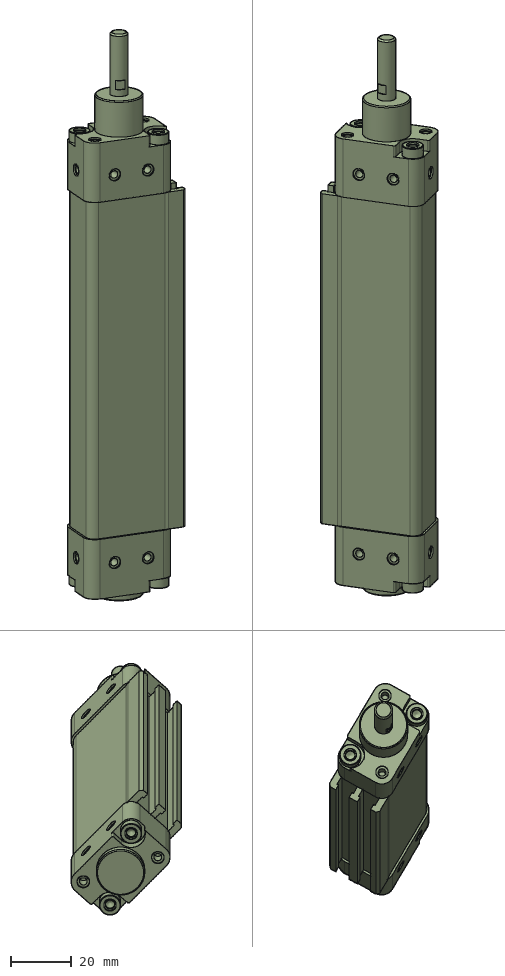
import cadquery as cq
import math

total_length = 194.5
overall_depth = 35.5
boss_diameter = 16.0
end_boss_length = 2.7
boss_length = 12.5
boss_chamfer = 0.4

cap_width = 20.0
cap_depth = 31.1
cap_length = 20.6
cap_corner_radius = 4.0
front_cap_top = 160.7

tube_width = 18.5
tube_depth = 29.5
tube_corner_radius = 3.1

rail_width = 19.0
rail_ramp_start_y = 12.5
rail_ramp_end_y = 13.6
rail_edge_chamfer = 1.0
lip_thickness = 2.0
slot_mouth_edge = 6.6
slot_wall_edge = 7.2
tee_head_width = 3.1
tee_stem_width = 2.0

corner_x = 6.0
corner_y = 11.5
screw_head_diameter = 7.0
screw_head_recess = 0.4
screw_head_chamfer = 0.2
socket_diameter = 3.1
socket_mouth_diameter = 4.0
socket_mouth_depth = 0.5
socket_depth = 1.5
socket_point_half_angle = math.radians(59)
pocket_radius = 4.7
pocket_depth = 3.9
pocket_edge_radius = 0.5

hole_diameter = 2.5
hole_mouth_diameter = 4.0
hole_mouth_depth = 0.5
hole_depth = 4.9
side_hole_spacing = 12.0
side_hole_inset = 8.8

rod_diameter = 6.0
rod_tip_chamfer = 0.5
rod_socket_depth = boss_length
flat_size = 3.1
flat_gap = 2.3
flat_turn = -15.0

rail_top_y = overall_depth - cap_depth / 2
rear_cap_top = end_boss_length + cap_length
front_cap_bottom = front_cap_top - cap_length
boss_top = front_cap_top + boss_length
tube_length = front_cap_bottom - rear_cap_top
screw_corners = ((-corner_x, -corner_y), (corner_x, corner_y))
threaded_corners = ((-corner_x, corner_y), (corner_x, -corner_y))


def cylinder(diameter, length, bottom, x=0, y=0):
    return cq.Workplane("XY", origin=(x, y, bottom)).circle(diameter / 2).extrude(length)


def stepped_hole(point, direction):
    """Cutter for a blind hole that starts at a point and runs along a direction."""
    start = cq.Vector(*point)
    inward = cq.Vector(*direction)
    bore = cq.Solid.makeCylinder(hole_diameter / 2, hole_depth, start, inward)
    mouth = cq.Solid.makeCylinder(hole_mouth_diameter / 2, hole_mouth_depth, start, inward)
    return bore.fuse(mouth)


def tube():
    """Plain tube between the caps, rounded along its two -Y corners."""
    block = cq.Workplane("XY", origin=(0, 0, rear_cap_top)).rect(tube_width, tube_depth).extrude(tube_length)
    return block.edges("|Z and <Y").fillet(tube_corner_radius)


def side_rail(side):
    """L-shaped rail whose outer face stands out from the tube by a short ramp."""
    outline = [
        (slot_wall_edge, rail_ramp_start_y),
        (tube_width / 2, rail_ramp_start_y),
        (rail_width / 2, rail_ramp_end_y),
        (rail_width / 2, rail_top_y - rail_edge_chamfer),
        (rail_width / 2 - rail_edge_chamfer, rail_top_y),
        (slot_mouth_edge, rail_top_y),
        (slot_mouth_edge, rail_top_y - lip_thickness),
        (slot_wall_edge, rail_top_y - lip_thickness),
    ]
    points = [(side * x, y) for x, y in outline]
    return cq.Workplane("XY", origin=(0, 0, rear_cap_top)).polyline(points).close().extrude(tube_length)


def tee_rail():
    """T-shaped rail in the middle, between the two slots."""
    stem_height = rail_top_y - rail_ramp_start_y
    stem_y = rail_top_y - stem_height / 2
    head_y = rail_top_y - lip_thickness / 2
    base = cq.Workplane("XY", origin=(0, 0, rear_cap_top))
    stem = base.center(0, stem_y).rect(tee_stem_width, stem_height).extrude(tube_length)
    head = base.center(0, head_y).rect(tee_head_width, lip_thickness).extrude(tube_length)
    return stem.union(head)


def pocket_opening(near, across, far, edge):
    """Cutter that opens a pocket towards +X, its wall rounded over where it meets the cap side."""
    r = pocket_edge_radius
    bend = r * (1 - math.sqrt(0.5))
    return (
        cq.Workplane("XY")
        .moveTo(near, across)
        .lineTo(edge - r, across)
        .threePointArc((edge - bend, across - bend), (edge, across - r))
        .lineTo(edge + r, across - r)
        .lineTo(edge + r, far)
        .lineTo(near, far)
        .close()
        .extrude(pocket_depth)
    )


def screw_pocket(corner, opens_in_y):
    """Cutter for the round seat of a screw head, open towards the cap side in X and, if asked, in Y."""
    half_width = cap_width / 2
    half_depth = cap_depth / 2
    pocket = cylinder(2 * pocket_radius, pocket_depth, 0, corner_x, corner_y)
    pocket = pocket.union(pocket_opening(corner_x, corner_y - pocket_radius, half_depth, half_width))
    if opens_in_y:
        opening = pocket_opening(corner_y, corner_x - pocket_radius, half_width, half_depth)
        pocket = pocket.union(opening.mirror("XY").rotate((0, 0, 0), (1, 1, 0), 180))
    if corner[0] < 0:
        pocket = pocket.rotate((0, 0, 0), (0, 0, 1), 180)
    return pocket


def screw_head(corner):
    """Screw head on the floor of its pocket, with a drilled socket in its top."""
    head_height = pocket_depth - screw_head_recess
    head = cylinder(screw_head_diameter, head_height, 0, *corner).faces(">Z").chamfer(screw_head_chamfer)
    socket = cylinder(socket_diameter, socket_depth, head_height - socket_depth, *corner)
    point_height = socket_diameter / 2 / math.tan(socket_point_half_angle)
    point = cq.Solid.makeCone(
        socket_diameter / 2,
        0,
        point_height,
        cq.Vector(*corner, head_height - socket_depth),
        cq.Vector(0, 0, -1),
    )
    mouth = cylinder(socket_mouth_diameter, socket_mouth_depth, head_height - socket_mouth_depth, *corner)
    return head.cut(mouth).cut(socket).cut(cq.Workplane(point))


def end_cap():
    """End cap standing on Z = 0 with its outer face, pockets and screws at the top."""
    cap = cq.Workplane("XY").rect(cap_width, cap_depth).extrude(cap_length)
    cap = cap.edges("|Z").fillet(cap_corner_radius)
    pocket_floor = cq.Vector(0, 0, cap_length - pocket_depth)
    for corner in screw_corners:
        opens_in_y = corner[1] < 0
        cap = cap.cut(screw_pocket(corner, opens_in_y).translate(pocket_floor))
        cap = cap.union(screw_head(corner).translate(pocket_floor))
    for x, y in threaded_corners:
        cap = cap.cut(cq.Workplane(stepped_hole((x, y, cap_length), (0, 0, -1))))
    cap = cap.cut(cq.Workplane(stepped_hole((0, -cap_depth / 2, side_hole_inset), (0, 1, 0))))
    for side in (-1, 1):
        for y in (-side_hole_spacing / 2, side_hole_spacing / 2):
            hole = stepped_hole((side * cap_width / 2, y, side_hole_inset), (-side, 0, 0))
            cap = cap.cut(cq.Workplane(hole))
    return cap


def make_housing():
    """Tube, rails, both caps and both bosses, with a blind bore for the rod."""
    body = tube().union(tee_rail())
    for side in (-1, 1):
        body = body.union(side_rail(side))
    front_boss = cylinder(boss_diameter, boss_length, front_cap_top).faces(">Z").chamfer(boss_chamfer)
    rear_boss = cylinder(boss_diameter, end_boss_length, 0).faces("<Z").chamfer(boss_chamfer)
    body = body.union(end_cap().translate((0, 0, front_cap_bottom))).union(front_boss)
    body = body.union(end_cap().mirror("XY").translate((0, 0, rear_cap_top))).union(rear_boss)
    return body.cut(cylinder(rod_diameter, rod_socket_depth, boss_top - rod_socket_depth))


def make_rod():
    """Rod seated in the bore of the front boss."""
    rod_bottom = boss_top - rod_socket_depth
    rod = cylinder(rod_diameter, total_length - rod_bottom, rod_bottom)
    rod = rod.faces(">Z").chamfer(rod_tip_chamfer)
    flat_distance = math.sqrt(rod_diameter**2 - flat_size**2) / 2
    flat_height = boss_top + flat_gap + flat_size / 2
    for side in (-1, 1):
        cutter = cq.Workplane("XY").box(rod_diameter, rod_diameter, flat_size)
        cutter = cutter.translate((side * (flat_distance + rod_diameter / 2), 0, flat_height))
        rod = rod.cut(cutter.rotate((0, 0, 0), (0, 0, 1), flat_turn))
    return rod


housing = make_housing()
rod = make_rod()
result = cq.Compound.makeCompound([housing.val(), rod.val()])